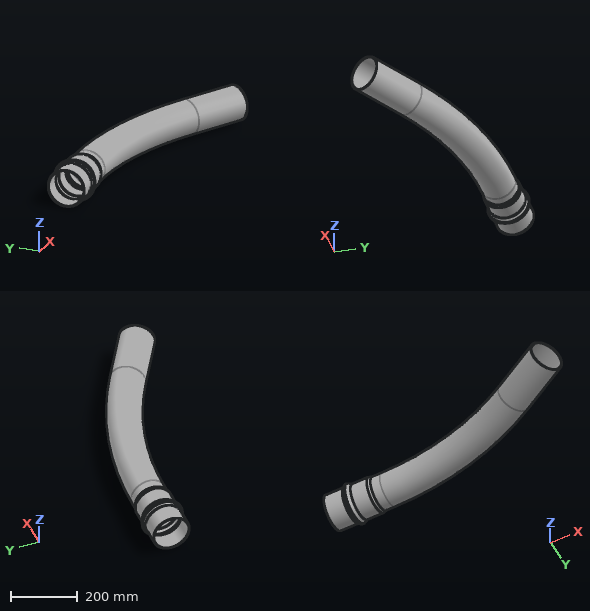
import cadquery as cq
import math

pipe_radius = 110.0 / 2
pipe_bore_radius = 104.0 / 2
bend_angle = 30
bend_radius = 1000.0
straight_length = 188.0

socket_radius = 117.0 / 2
socket_bore_radius = 111.0 / 2
neck_start = 146.0
neck_end = 156.0

bead_radius = 131.0 / 2
groove_radius = 124.0 / 2
bead_start = 62.0
crest_start = 72.0
crest_end = 75.5
bead_end = 90.5


def socket_solid(mouth_radius, crest_radius, end_radius):
    """Solid of revolution about X: socket, bead, neck and straight pipe up to the bend."""
    profile = (
        cq.Workplane("XY")
        .lineTo(0, mouth_radius)
        .lineTo(bead_start, mouth_radius)
        .lineTo(crest_start, crest_radius)
        .lineTo(crest_end, crest_radius)
        .lineTo(bead_end, mouth_radius)
        .lineTo(neck_start, mouth_radius)
        .lineTo(neck_end, end_radius)
        .lineTo(straight_length, end_radius)
        .lineTo(straight_length, 0)
        .close()
    )
    return profile.revolve(360, (0, 0, 0), (1, 0, 0))


def bend_tube():
    """Hollow pipe turning from +X towards -Y, about a vertical axis."""
    section = (
        cq.Workplane("YZ", origin=(straight_length, 0, 0))
        .circle(pipe_radius)
        .circle(pipe_bore_radius)
    )
    return section.revolve(bend_angle, (-bend_radius, 9, 0), (-bend_radius, 0, 0))


def tail_tube():
    """Straight hollow pipe leaving the bend along its tangent."""
    angle = math.radians(bend_angle)
    bend_exit = (
        straight_length + bend_radius * math.sin(angle),
        -bend_radius * (1 - math.cos(angle)),
        0,
    )
    direction = (math.cos(angle), -math.sin(angle), 0)
    exit_plane = cq.Plane(origin=bend_exit, xDir=(0, 0, 1), normal=direction)
    return (
        cq.Workplane(exit_plane)
        .circle(pipe_radius)
        .circle(pipe_bore_radius)
        .extrude(straight_length)
    )


socket = socket_solid(socket_radius, bead_radius, pipe_radius).cut(
    socket_solid(socket_bore_radius, groove_radius, pipe_bore_radius)
)
result = socket.union(bend_tube()).union(tail_tube())